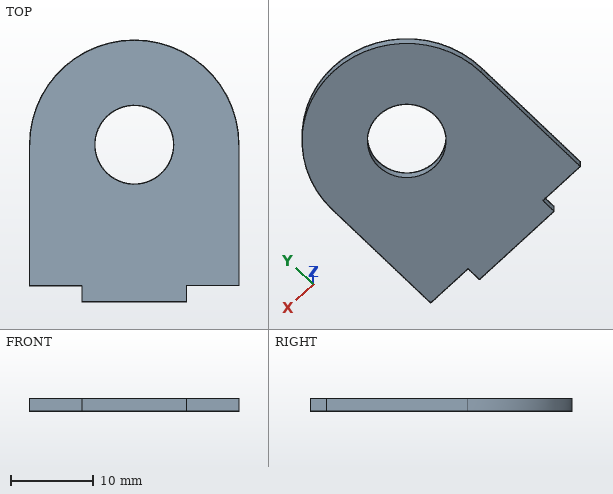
import cadquery as cq

length = 31.75
width = 25.4
thickness = 1.6
hole_diameter = 9.52

tab_width = width / 2
left_tab_length = 1.95
right_tab_length = 1.97

end_radius = width / 2
tab_end_y = end_radius - length
left_shoulder_y = tab_end_y + left_tab_length
right_shoulder_y = tab_end_y + right_tab_length

body = (
    cq.Workplane("XY")
    .moveTo(-end_radius, 0)
    .lineTo(-end_radius, left_shoulder_y)
    .lineTo(-tab_width / 2, left_shoulder_y)
    .lineTo(-tab_width / 2, tab_end_y)
    .lineTo(tab_width / 2, tab_end_y)
    .lineTo(tab_width / 2, right_shoulder_y)
    .lineTo(end_radius, right_shoulder_y)
    .lineTo(end_radius, 0)
    .threePointArc((0, end_radius), (-end_radius, 0))
    .close()
    .extrude(thickness)
)

hole = cq.Workplane("XY").circle(hole_diameter / 2).extrude(thickness)

result = body.cut(hole)